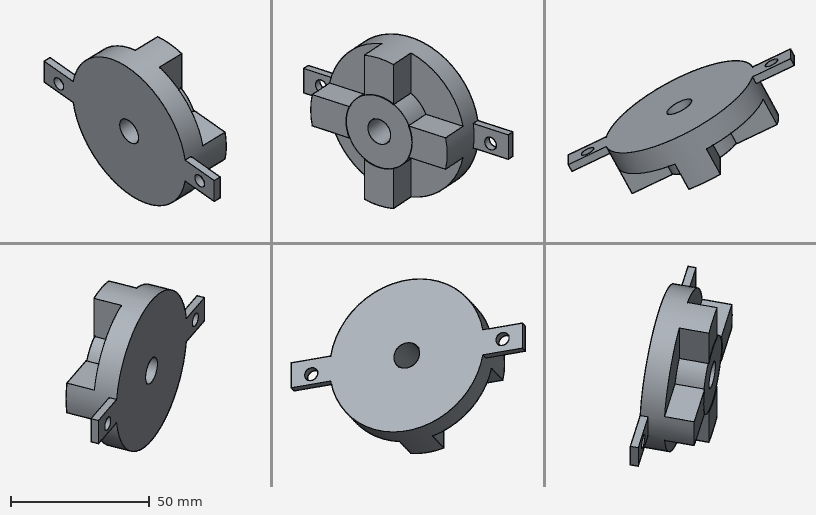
import cadquery as cq

overall_length = 90.0
disc_diameter = 60.0
disc_thickness = 9.0
overall_depth = 20.0
bore_diameter = 10.0

jaw_width = 12.8
hub_diameter = 29.0
hub_step = 0.3

tab_height = 10.0
tab_thickness = 3.0
tab_hole_diameter = 5.0
left_hole_position = (-37.2, -0.9)
right_hole_position = (37.3, 0.0)


def cylinder_along_y(diameter, depth, position=(0.0, 0.0)):
    """Cylinder from Y = 0 toward +Y, centred on the given (X, Z) position."""
    return cq.Workplane("XZ").center(*position).circle(diameter / 2).extrude(-depth)


def bar_along_y(length_x, length_z, depth):
    """Rectangular bar centred on the disc axis, from Y = 0 toward +Y."""
    return cq.Workplane("XZ").rect(length_x, length_z).extrude(-depth)


disc = cylinder_along_y(disc_diameter, disc_thickness)
hub_height = overall_depth - hub_step
hub = cylinder_along_y(hub_diameter, hub_height)

jaws = bar_along_y(disc_diameter, jaw_width, overall_depth)
jaws = jaws.union(bar_along_y(jaw_width, disc_diameter, overall_depth))
jaws = jaws.intersect(cylinder_along_y(disc_diameter, overall_depth))
jaws = jaws.cut(cylinder_along_y(hub_diameter, overall_depth))

tabs = bar_along_y(overall_length, tab_height, tab_thickness)

result = disc.union(hub).union(jaws).union(tabs)

result = result.cut(cylinder_along_y(bore_diameter, overall_depth))
for hole_position in (left_hole_position, right_hole_position):
    result = result.cut(cylinder_along_y(tab_hole_diameter, tab_thickness, hole_position))